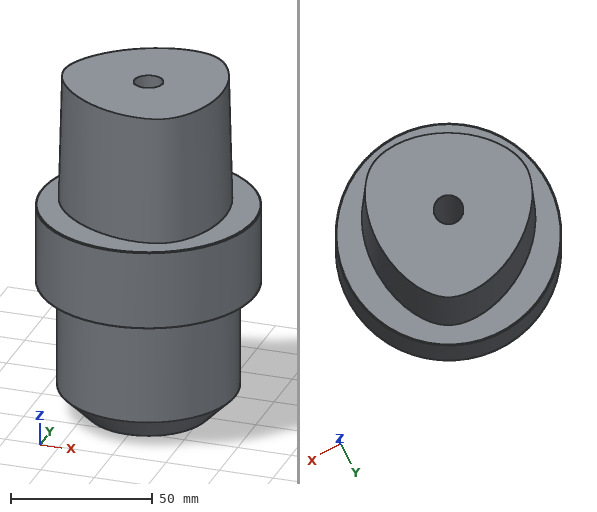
import cadquery as cq
import math

total_height = 128.0
shank_height = 48.0
flange_height = 30.0
flange_top = total_height - shank_height
flange_bottom = flange_top - flange_height

flange_diameter = 80.0
flange_chamfer = 0.4
body_diameter = 65.0
body_chamfer = 10.0

shank_base_width = 61.6
shank_taper = 1 / 20
shank_top_width = shank_base_width - shank_taper * shank_height
lobe_offset = 1.9
outline_points = 72

bore_diameter = 10.5


def lobed_wire(width, z):
    """Closed three-lobed outline of constant width, with one lobe pointing to -X."""
    points = []
    for index in range(outline_points):
        angle = 2 * math.pi * index / outline_points
        x = width / 2 * math.cos(angle) + lobe_offset * (math.cos(4 * angle) - 2 * math.cos(2 * angle))
        y = width / 2 * math.sin(angle) + lobe_offset * (math.sin(4 * angle) + 2 * math.sin(2 * angle))
        points.append(cq.Vector(x, y, z))
    return cq.Wire.assembleEdges([cq.Edge.makeSpline(points, periodic=True)])


body = cq.Workplane("XY").circle(body_diameter / 2).extrude(flange_bottom)
body = body.faces("<Z").chamfer(body_chamfer)

flange = cq.Workplane("XY").workplane(offset=flange_bottom).circle(flange_diameter / 2).extrude(flange_height)
flange = flange.edges("%CIRCLE").chamfer(flange_chamfer)

shank = cq.Solid.makeLoft(
    [lobed_wire(shank_base_width, flange_top), lobed_wire(shank_top_width, total_height)],
    True,
)

bore = cq.Workplane("XY").circle(bore_diameter / 2).extrude(total_height)

result = body.union(flange).union(cq.Workplane(obj=shank)).cut(bore)